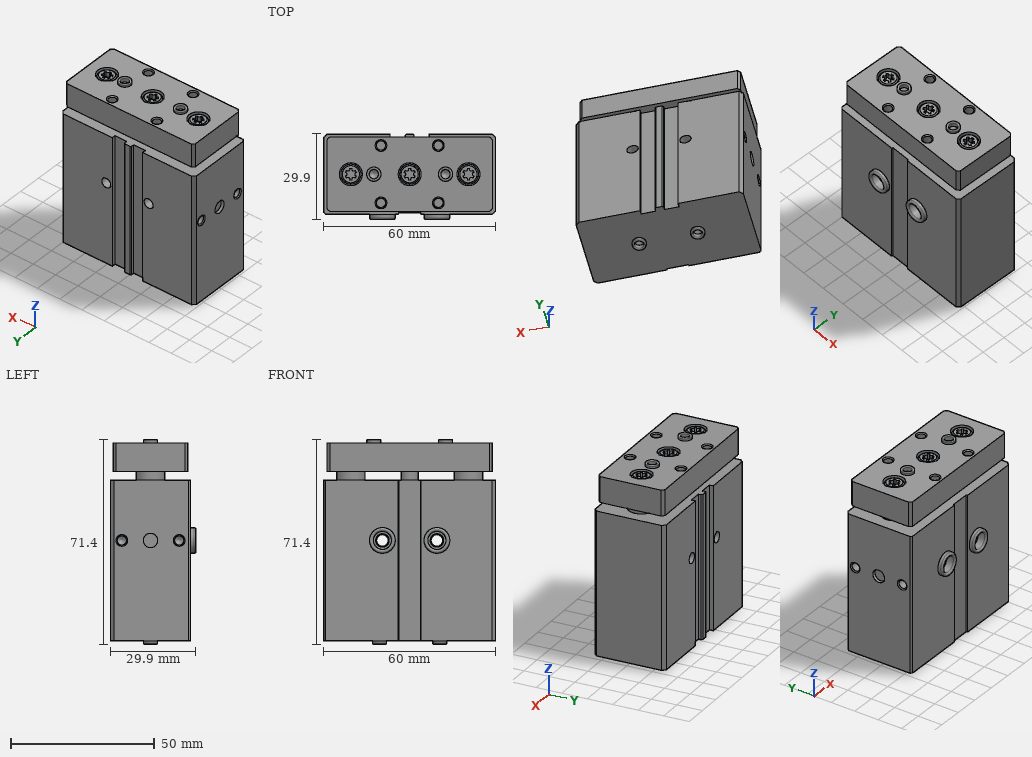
import cadquery as cq
import math


HOUSING_LENGTH = 60.0
HOUSING_DEPTH = 28.0
HOUSING_HEIGHT = 56.0
CORNER_CHAMFER = 1.2
SMALL_CORNER_CHAMFER = 0.7
FRONT_GROOVE_MOUTH = 8.0
FRONT_GROOVE_FLOOR = 7.6
FRONT_GROOVE_DEPTH = 0.5
BACK_SLOT_WIDTH = 13.6
BACK_SLOT_DEPTH = 1.5
BACK_RIB_WIDTH = 3.15
BACK_RIB_CHAMFER = 0.4
MOUNT_HEIGHT = HOUSING_HEIGHT * 5 / 8

STROKE_GAP = 3.0
PLATE_LENGTH = 57.7
PLATE_DEPTH = 26.0
PLATE_THICKNESS = 10.0
PLATE_CHAMFER = 1.0
PLATE_BOTTOM = HOUSING_HEIGHT + STROKE_GAP
PLATE_TOP = PLATE_BOTTOM + PLATE_THICKNESS
PISTON_ROD_DIAMETER = 6.0

SCREW_SPACING = 20.5
COUNTERBORE_DIAMETER = 8.0
COUNTERBORE_DEPTH = 4.0
HEAD_DIAMETER = 7.0
HEAD_RECESS = 0.3
HEAD_CHAMFER = 0.5
STAR_DIAMETER = 4.0
STAR_SCALLOP_DIAMETER = 1.3
STAR_DEPTH = 2.0
STAR_LOBES = 6

GUIDE_ROD_DIAMETER = 10.0
GUIDE_ROD_SEAT = 10.0

THREAD_DIAMETER = 3.2
THREAD_CHAMFER = 0.4
THREAD_OFFSET = 10.0
SIDE_THREAD_DEPTH = 6.0
LOCATING_DIAMETER = 5.0
LOCATING_DEPTH = 1.3
DRILL_POINT_ANGLE = 118.0

SMALL_SLEEVE_DIAMETER = 5.0
SMALL_SLEEVE_BORE = 3.2
SMALL_SLEEVE_OUTSIDE = 1.2
SMALL_SLEEVE_SEAT = 0.8
TOP_SLEEVE_OFFSET = 12.5
BOTTOM_SLEEVE_OFFSET = 10.5

LARGE_SLEEVE_DIAMETER = 9.0
LARGE_SLEEVE_BORE = 6.3
LARGE_SLEEVE_OUTSIDE = 1.85
LARGE_SLEEVE_SEAT = 1.6
LARGE_SLEEVE_OFFSET = 9.5
MOUNT_HOLE_DIAMETER = 4.0
MOUNT_HOLE_CHAMFER = 0.35

UP = cq.Vector(0, 0, 1)
DOWN = cq.Vector(0, 0, -1)
RIGHT = cq.Vector(1, 0, 0)
BACKWARD = cq.Vector(0, 1, 0)

FRONT_Y = -HOUSING_DEPTH / 2
BACK_Y = HOUSING_DEPTH / 2
LEFT_X = -HOUSING_LENGTH / 2


def cylinder(mouth, direction, diameter, length):
    return cq.Workplane(cq.Solid.makeCylinder(diameter / 2, length, mouth, direction))


def countersink(mouth, direction, diameter, chamfer):
    """45 degree cone that breaks the rim of a hole."""
    radius = diameter / 2
    return cq.Workplane(cq.Solid.makeCone(radius + chamfer, radius, chamfer, mouth, direction))


def drilled_hole(mouth, direction, diameter, depth):
    """Blind hole with a conical drill point."""
    radius = diameter / 2
    point_length = radius / math.tan(math.radians(DRILL_POINT_ANGLE / 2))
    point = cq.Solid.makeCone(radius, 0, point_length, mouth + direction * depth, direction)
    return cylinder(mouth, direction, diameter, depth).union(cq.Workplane(point))


def small_sleeve_socket(mouth, direction):
    """Seat for a small sleeve, with a drill point in its floor."""
    seat = cylinder(mouth, direction, SMALL_SLEEVE_DIAMETER, SMALL_SLEEVE_SEAT)
    return seat.union(drilled_hole(mouth, direction, SMALL_SLEEVE_BORE, SMALL_SLEEVE_SEAT))


def large_sleeve_socket(mouth):
    """Seat for a large sleeve, with the mounting hole that runs through the housing."""
    seat = cylinder(mouth, BACKWARD, LARGE_SLEEVE_DIAMETER, LARGE_SLEEVE_SEAT)
    hole = cylinder(mouth, BACKWARD, MOUNT_HOLE_DIAMETER, HOUSING_DEPTH)
    seat_floor = mouth + BACKWARD * LARGE_SLEEVE_SEAT
    rim = countersink(seat_floor, BACKWARD, MOUNT_HOLE_DIAMETER, MOUNT_HOLE_CHAMFER)
    return seat.union(hole).union(rim)


def mirrored_points(offset, y, z):
    return [cq.Vector(side * offset, y, z) for side in (-1, 1)]


top_sleeve_mouths = mirrored_points(TOP_SLEEVE_OFFSET, 0, PLATE_TOP)
bottom_sleeve_mouths = mirrored_points(BOTTOM_SLEEVE_OFFSET, 0, 0)
front_sleeve_mouths = mirrored_points(LARGE_SLEEVE_OFFSET, FRONT_Y, MOUNT_HEIGHT)
guide_rod_ends = mirrored_points(SCREW_SPACING, 0, HOUSING_HEIGHT - GUIDE_ROD_SEAT)



def housing_block():
    block = cq.Workplane().box(
        HOUSING_LENGTH, HOUSING_DEPTH, HOUSING_HEIGHT, centered=(True, True, False)
    )
    block = block.edges("|Z and (>X or >Y)").chamfer(CORNER_CHAMFER)
    front_left = cq.selectors.NearestToPointSelector((LEFT_X, FRONT_Y, HOUSING_HEIGHT / 2))
    return block.edges(front_left).chamfer(SMALL_CORNER_CHAMFER)


def front_groove():
    floor_y = FRONT_Y + FRONT_GROOVE_DEPTH
    outline = [
        (-FRONT_GROOVE_MOUTH / 2, FRONT_Y),
        (FRONT_GROOVE_MOUTH / 2, FRONT_Y),
        (FRONT_GROOVE_FLOOR / 2, floor_y),
        (-FRONT_GROOVE_FLOOR / 2, floor_y),
    ]
    return cq.Workplane().polyline(outline).close().extrude(HOUSING_HEIGHT)


def back_slot():
    """Slot along the whole back face, with a chamfered rib left standing in its middle."""
    middle_y = BACK_Y - BACK_SLOT_DEPTH / 2
    slot = cq.Workplane().center(0, middle_y).rect(BACK_SLOT_WIDTH, BACK_SLOT_DEPTH)
    rib = cq.Workplane().center(0, middle_y).rect(BACK_RIB_WIDTH, BACK_SLOT_DEPTH)
    rib = rib.extrude(HOUSING_HEIGHT).edges("|Z and >Y").chamfer(BACK_RIB_CHAMFER)
    return slot.extrude(HOUSING_HEIGHT).cut(rib)


def make_housing():
    housing = housing_block().cut(front_groove()).cut(back_slot())
    for mouth in front_sleeve_mouths:
        housing = housing.cut(large_sleeve_socket(mouth))
    for mouth in bottom_sleeve_mouths:
        housing = housing.cut(small_sleeve_socket(mouth, UP))
    for rod_end in guide_rod_ends:
        housing = housing.cut(cylinder(rod_end, UP, GUIDE_ROD_DIAMETER, GUIDE_ROD_SEAT))
    for y in (-THREAD_OFFSET, THREAD_OFFSET):
        mouth = cq.Vector(LEFT_X, y, MOUNT_HEIGHT)
        housing = housing.cut(drilled_hole(mouth, RIGHT, THREAD_DIAMETER, SIDE_THREAD_DEPTH))
        housing = housing.cut(countersink(mouth, RIGHT, THREAD_DIAMETER, THREAD_CHAMFER))
    locating_mouth = cq.Vector(LEFT_X, 0, MOUNT_HEIGHT)
    return housing.cut(cylinder(locating_mouth, RIGHT, LOCATING_DIAMETER, LOCATING_DEPTH))



def star_recess():
    """Six-lobed screw drive, hanging down from the origin; scallops separate its lobes."""
    scallops = cq.Workplane().polarArray(STAR_DIAMETER / 2, 0, 360, STAR_LOBES)
    scallops = scallops.circle(STAR_SCALLOP_DIAMETER / 2).extrude(-STAR_DEPTH)
    return cylinder(cq.Vector(), DOWN, STAR_DIAMETER, STAR_DEPTH).cut(scallops)


def screw_gap():
    """Counterbore around and above a screw head, hanging down from the origin."""
    head = cylinder(DOWN * COUNTERBORE_DEPTH, UP, HEAD_DIAMETER, COUNTERBORE_DEPTH - HEAD_RECESS)
    head = head.edges(">Z").chamfer(HEAD_CHAMFER)
    head = head.cut(star_recess().translate(DOWN * HEAD_RECESS))
    return cylinder(cq.Vector(), DOWN, COUNTERBORE_DIAMETER, COUNTERBORE_DEPTH).cut(head)


def make_plate():
    plate = cq.Workplane().box(
        PLATE_LENGTH, PLATE_DEPTH, PLATE_THICKNESS, centered=(True, True, False)
    )
    plate = plate.edges("|Z").chamfer(PLATE_CHAMFER).translate((0, 0, PLATE_BOTTOM))
    plate = plate.union(cylinder(cq.Vector(0, 0, HOUSING_HEIGHT), UP, PISTON_ROD_DIAMETER, STROKE_GAP))
    for x in (-SCREW_SPACING, 0, SCREW_SPACING):
        plate = plate.cut(screw_gap().translate((x, 0, PLATE_TOP)))
    for y in (-THREAD_OFFSET, THREAD_OFFSET):
        for mouth in mirrored_points(THREAD_OFFSET, y, PLATE_TOP):
            plate = plate.cut(cylinder(mouth, DOWN, THREAD_DIAMETER, PLATE_THICKNESS))
            plate = plate.cut(countersink(mouth, DOWN, THREAD_DIAMETER, THREAD_CHAMFER))
    for mouth in top_sleeve_mouths:
        plate = plate.cut(small_sleeve_socket(mouth, DOWN))
    return plate



def make_guide_rod(rod_end):
    return cylinder(rod_end, UP, GUIDE_ROD_DIAMETER, GUIDE_ROD_SEAT + STROKE_GAP)


def sleeve_along_y(diameter, bore, seat, outside):
    """Sleeve around the Y axis, seated from Y = 0; its outer end is rounded over the full wall."""
    inner = bore / 2
    outer = diameter / 2
    middle = (inner + outer) / 2
    shoulder = (outer - inner) / 2 - outside
    wall = (
        cq.Workplane()
        .moveTo(inner, seat)
        .lineTo(outer, seat)
        .lineTo(outer, shoulder)
        .threePointArc((middle, -outside), (inner, shoulder))
        .close()
    )
    return wall.revolve(360, (0, 0, 0), (0, 1, 0))


def make_small_sleeve(mouth, turn_about_x):
    sleeve = sleeve_along_y(
        SMALL_SLEEVE_DIAMETER, SMALL_SLEEVE_BORE, SMALL_SLEEVE_SEAT, SMALL_SLEEVE_OUTSIDE
    )
    return sleeve.rotate((0, 0, 0), (1, 0, 0), turn_about_x).translate(mouth)


def make_large_sleeve(mouth):
    sleeve = sleeve_along_y(
        LARGE_SLEEVE_DIAMETER, LARGE_SLEEVE_BORE, LARGE_SLEEVE_SEAT, LARGE_SLEEVE_OUTSIDE
    )
    return sleeve.translate(mouth)



housing = make_housing()
plate = make_plate()
guide_rods = [make_guide_rod(rod_end) for rod_end in guide_rod_ends]
top_sleeves = [make_small_sleeve(mouth, -90) for mouth in top_sleeve_mouths]
bottom_sleeves = [make_small_sleeve(mouth, 90) for mouth in bottom_sleeve_mouths]
front_sleeves = [make_large_sleeve(mouth) for mouth in front_sleeve_mouths]

bodies = [housing, plate, *guide_rods, *top_sleeves, *bottom_sleeves, *front_sleeves]
result = cq.Compound.makeCompound([body.val() for body in bodies])